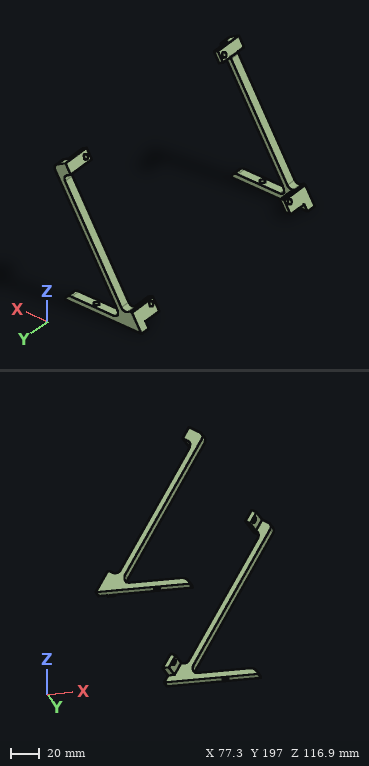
import cadquery as cq
import math

SPAN_Y = 197.0
TILT = 60.0
SIDE_WIDTH = 8.5
TAB_REACH = 24.0

FRONT_LENGTH = 135.0
ARM_BACK = 13.0
ARM_THICKNESS = 5.0
ARM_FRONT = ARM_BACK - ARM_THICKNESS
HEAD_LENGTH = 9.3
HEAD_BOTTOM = FRONT_LENGTH - HEAD_LENGTH
HEAD_RADIUS = 4.0
PAD_TOP = 18.0
PAD_CHAMFER = 1.0
INNER_RADIUS = 4.0

FOOT_FLAT_END = 62.3
FOOT_THICKNESS = 5.0
TOE_RADIUS = 6.0

TAB_THICKNESS = ARM_FRONT - INNER_RADIUS
TAB_HOLE_DIAMETER = 4.0
TAB_HOLE_EDGE = 4.1
TAB_HOLES_ALONG = (13.8, 129.8)
FOOT_HOLE_DIAMETER = 4.3
FOOT_HOLE_X = 43.3

COS_TILT = math.cos(math.radians(TILT))
SIN_TILT = math.sin(math.radians(TILT))


def tilted(along, depth):
    """XZ point at a distance along and behind the tilted front plane."""
    return (along * COS_TILT + depth * SIN_TILT, along * SIN_TILT - depth * COS_TILT)


def slab(points, width):
    """Extrude a closed XZ outline from Y = 0 to Y = width."""
    return cq.Workplane("XZ").polyline(points).close().extrude(-width)


def round_edge(body, point, radius):
    """Round the Y-parallel edge nearest to an XZ point."""
    x, z = point
    nearest = cq.selectors.NearestToPointSelector((x, SIDE_WIDTH / 2, z))
    return body.edges("|Y").edges(nearest).fillet(radius)


def make_side():
    """Arm, head, lower pad and foot as one profile."""
    crotch_along = (FOOT_THICKNESS + ARM_BACK * COS_TILT) / SIN_TILT
    crotch = tilted(crotch_along, ARM_BACK)
    pad_corner = tilted(PAD_TOP, ARM_FRONT)
    head_inner = tilted(HEAD_BOTTOM, ARM_FRONT)
    head_outer = tilted(FRONT_LENGTH, ARM_BACK)
    toe_center_z = FOOT_THICKNESS - TOE_RADIUS
    toe_diagonal = TOE_RADIUS * math.sqrt(0.5)
    toe_top = (FOOT_FLAT_END, FOOT_THICKNESS)
    toe_middle = (FOOT_FLAT_END + toe_diagonal, toe_center_z + toe_diagonal)
    toe_tip = (FOOT_FLAT_END + math.sqrt(TOE_RADIUS**2 - toe_center_z**2), 0)
    side = (
        cq.Workplane("XZ")
        .moveTo(*toe_tip)
        .threePointArc(toe_middle, toe_top)
        .lineTo(*crotch)
        .lineTo(*head_outer)
        .lineTo(*tilted(FRONT_LENGTH, 0))
        .lineTo(*tilted(HEAD_BOTTOM, 0))
        .lineTo(*head_inner)
        .lineTo(*pad_corner)
        .lineTo(*tilted(PAD_TOP, PAD_CHAMFER))
        .lineTo(*tilted(PAD_TOP - PAD_CHAMFER, 0))
        .lineTo(0, 0)
        .close()
        .extrude(-SIDE_WIDTH)
    )
    for corner in (crotch, pad_corner, head_inner):
        side = round_edge(side, corner, INNER_RADIUS)
    return round_edge(side, head_outer, HEAD_RADIUS)


def make_head_tab():
    return slab(
        [
            tilted(HEAD_BOTTOM, 0),
            tilted(FRONT_LENGTH, 0),
            tilted(FRONT_LENGTH, TAB_THICKNESS),
            tilted(HEAD_BOTTOM, TAB_THICKNESS),
        ],
        TAB_REACH,
    )


def make_pad_tab():
    """Lower tab, with a horizontal underside level with the top of the foot."""
    front_along = FOOT_THICKNESS / SIN_TILT
    back_along = (FOOT_THICKNESS + TAB_THICKNESS * COS_TILT) / SIN_TILT
    return slab(
        [
            tilted(front_along, 0),
            tilted(PAD_TOP - PAD_CHAMFER, 0),
            tilted(PAD_TOP, PAD_CHAMFER),
            tilted(PAD_TOP, TAB_THICKNESS),
            tilted(back_along, TAB_THICKNESS),
        ],
        TAB_REACH,
    )


def make_tab_hole(along):
    """Cutter through a tab, square to the tilted front plane."""
    x, z = tilted(along, 0)
    start = cq.Vector(x, TAB_REACH - TAB_HOLE_EDGE, z)
    direction = cq.Vector(SIN_TILT, 0, -COS_TILT)
    return cq.Solid.makeCylinder(TAB_HOLE_DIAMETER / 2, TAB_THICKNESS, start, direction)


def make_foot_hole():
    start = cq.Vector(FOOT_HOLE_X, SIDE_WIDTH / 2, 0)
    return cq.Solid.makeCylinder(FOOT_HOLE_DIAMETER / 2, FOOT_THICKNESS, start)


def make_stand():
    """Stand with its outer side on Y = 0 and its tabs reaching toward +Y."""
    stand = make_side().union(make_head_tab()).union(make_pad_tab())
    for along in TAB_HOLES_ALONG:
        stand = stand.cut(cq.Workplane(make_tab_hole(along)))
    return stand.cut(cq.Workplane(make_foot_hole()))


near_stand = make_stand().translate((0, -SPAN_Y / 2, 0))
far_stand = near_stand.mirror("XZ")

result = cq.Compound.makeCompound([near_stand.val(), far_stand.val()])